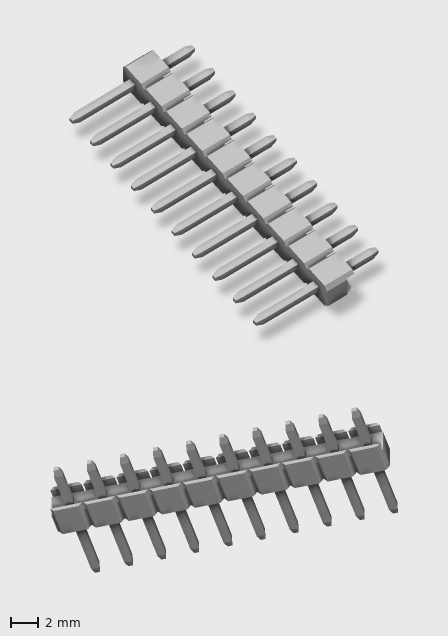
import cadquery as cq

pin_count = 10
body_length = 25.45
body_depth = 2.55
body_height = 2.5
end_overhang = 0.059
pitch = (body_length - end_overhang) / pin_count

groove_half_width = 0.3
groove_depth = 0.38

channel_depth = 0.71
channel_wall = 0.3

pin_width = 0.64
tip_width = 0.35
tip_length = 0.59
pin_front_reach = 5.63
pin_rear_reach = 3.03
first_pin_x = 1.17

half_height = body_height / 2


def make_groove(x, side):
    """V groove along Y, cut into the top (side = 1) or bottom (side = -1)."""
    outer_z = side * half_height
    inner_z = side * (half_height - groove_depth)
    return (
        cq.Workplane("XZ")
        .polyline([(x - groove_half_width, outer_z), (x, inner_z), (x + groove_half_width, outer_z)])
        .close()
        .extrude(-body_depth)
    )


def make_housing():
    """Grooved strip with its front face on Y = 0 and its left end on X = 0."""
    housing = cq.Workplane("XY").box(body_length, body_depth, body_height, centered=(False, False, True))
    channel = (
        cq.Workplane("XY")
        .box(body_length, channel_depth, body_height - 2 * channel_wall, centered=(False, False, True))
        .translate((0, body_depth - channel_depth, 0))
    )
    housing = housing.cut(channel)
    for index in range(pin_count + 1):
        groove_x = index * pitch
        for side in (1, -1):
            housing = housing.cut(make_groove(groove_x, side))
    return housing


def make_pin(x):
    """Square pin along Y through the housing, tapered at both ends."""
    shank_front = tip_length - pin_front_reach
    shank_rear = body_depth + pin_rear_reach - tip_length
    shank = (
        cq.Workplane("XZ", origin=(x, shank_front, 0))
        .rect(pin_width, pin_width)
        .extrude(shank_front - shank_rear)
    )
    front_tip = make_tip(x, shank_front, tip_length)
    rear_tip = make_tip(x, shank_rear, -tip_length)
    return shank.union(front_tip).union(rear_tip)


def make_tip(x, base_y, forward_length):
    """Tapered pin end; a positive length points to the front, a negative one to the rear."""
    return (
        cq.Workplane("XZ", origin=(x, base_y, 0))
        .rect(pin_width, pin_width)
        .workplane(offset=forward_length)
        .rect(tip_width, tip_width)
        .loft(ruled=True)
    )


result = make_housing()
for pin_index in range(pin_count):
    result = result.union(make_pin(first_pin_x + pin_index * pitch))